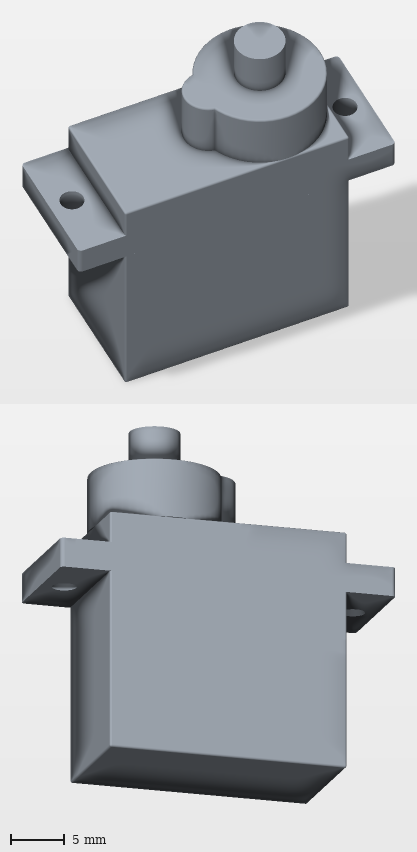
import cadquery as cq

case_width = 12.5
case_length = 22.98
case_height = 22.75
edge_radius = 0.2

plate_length = 32.5
plate_bottom = 17.0
plate_thickness = 2.8
plate_corner_radius = 0.4
screw_hole_diameter = 2.3
screw_hole_spacing = 28.0
window_width = case_width - 2 * edge_radius
window_length = case_length - 2 * edge_radius

tower_height = 5.6
main_tower_diameter = case_width
main_tower_y = (case_length - main_tower_diameter) / 2
small_tower_diameter = 5.0
shaft_diameter = 4.8
shaft_top = 32.6
tower_top = case_height + tower_height


def make_plate_window():
    """Opening through the plate, which the waist of the case fills."""
    return (
        cq.Workplane("XY", origin=(0, 0, plate_bottom))
        .rect(window_width, window_length)
        .extrude(plate_thickness)
    )


def make_plate():
    """Mounting plate with a screw hole in each ear and a window for the case."""
    blank = (
        cq.Workplane("XY", origin=(0, 0, plate_bottom))
        .rect(case_width, plate_length)
        .extrude(plate_thickness)
        .edges("|Z")
        .fillet(plate_corner_radius)
    )
    screw_holes = (
        cq.Workplane("XY", origin=(0, 0, plate_bottom))
        .rarray(0.33, screw_hole_spacing, 1, 2)
        .circle(screw_hole_diameter / 2)
        .extrude(plate_thickness)
    )
    return blank.cut(screw_holes).cut(make_plate_window())


def make_case(plate):
    """Rounded box with a shallow waist where the plate surrounds it."""
    box = (
        cq.Workplane("XY")
        .rect(case_width, case_length)
        .extrude(case_height)
        .edges()
        .fillet(edge_radius)
    )
    return box.cut(plate)


def make_tower(diameter, center_y):
    """Round tower on top of the case with a rounded top rim."""
    return (
        cq.Workplane("XY", origin=(0, center_y, case_height))
        .circle(diameter / 2)
        .extrude(tower_height)
        .faces(">Z")
        .edges()
        .fillet(edge_radius)
    )


def make_shaft():
    """Output shaft standing on the main tower."""
    return (
        cq.Workplane("XY", origin=(0, main_tower_y, tower_top))
        .circle(shaft_diameter / 2)
        .extrude(shaft_top - tower_top)
    )


plate = make_plate()
case = make_case(plate)
main_tower = make_tower(main_tower_diameter, main_tower_y)
small_tower = make_tower(small_tower_diameter, 0).cut(main_tower)
shaft = make_shaft()

bodies = [case, plate, main_tower, small_tower, shaft]
result = cq.Compound.makeCompound([body.solids().val() for body in bodies])